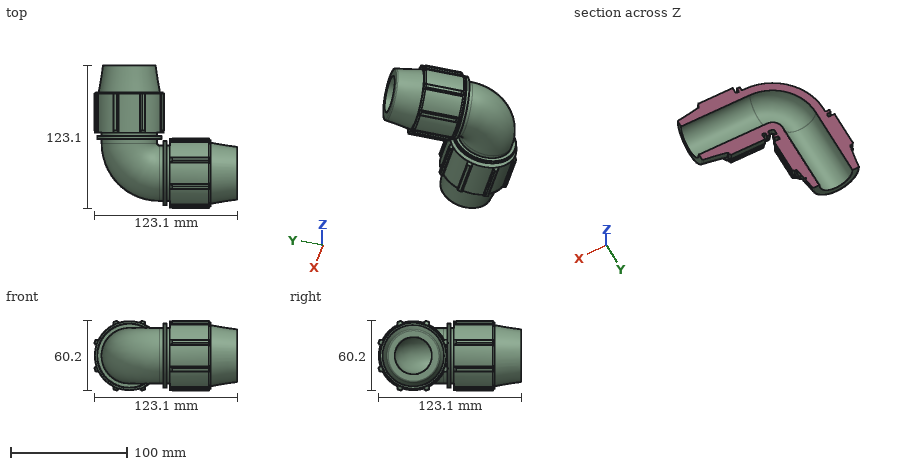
import cadquery as cq
import math

overall_length = 123.1
pipe_radius = 24.0
bore_radius = 16.0
bend_radius = 25.9

flange_radius = 27.8
flange_start = 29.2
flange_end = 32.3
flange_chamfer = 0.4

nut_radius = 29.8
nut_start = 35.0
nut_end = 69.9
nut_chamfer = 1.5

rib_count = 8
rib_radius = 32.0
rib_width = 4.7
rib_top_width = 2.7
rib_shoulder_radius = 30.7
rib_root_radius = 28.5
rib_corner_radius = math.hypot(rib_radius, rib_top_width / 2)
rib_end_bevel = rib_corner_radius - nut_radius
rib_pitch = 360 / rib_count

half_pitch = math.radians(rib_pitch / 2)
nut_reach = rib_radius * math.cos(half_pitch) + rib_top_width / 2 * math.sin(half_pitch)
leg_length = overall_length - nut_reach

collar_base_radius = 26.5
collar_middle_radius = 24.4
collar_tip_radius = 22.8
collar_fillet = 1.1


def x_cylinder(radius, start, end):
    """Cylinder along the X axis."""
    return cq.Workplane("YZ", origin=(start, 0, 0)).circle(radius).extrude(end - start)


def bend(radius):
    """Quarter-turn tube from the X leg to the Y leg."""
    return (
        cq.Workplane("YZ", origin=(bend_radius, 0, 0))
        .circle(radius)
        .revolve(90, (bend_radius, 1.2, 0), (bend_radius, 0, 0))
    )


def flange():
    return x_cylinder(flange_radius, flange_start, flange_end).edges().chamfer(flange_chamfer)


def nut_body():
    return x_cylinder(nut_radius, nut_start, nut_end).faces(">X").edges().chamfer(nut_chamfer)


def rib_envelope():
    """Turned shape that bevels both ends of the ribs."""
    return (
        cq.Workplane("XY")
        .moveTo(nut_start, 0)
        .lineTo(nut_start, nut_radius)
        .lineTo(nut_start + rib_end_bevel, rib_corner_radius)
        .lineTo(nut_end - nut_chamfer, rib_corner_radius)
        .lineTo(nut_end, nut_radius - nut_chamfer)
        .lineTo(nut_end, 0)
        .close()
        .revolve(360, (0, 0, 0), (1, 0, 0))
    )


def ribs():
    """Ring of ribs with bevelled crests, set half a pitch away from the Z axis."""
    rib = (
        cq.Workplane("YZ", origin=(nut_start, 0, 0))
        .moveTo(-rib_width / 2, rib_root_radius)
        .lineTo(rib_width / 2, rib_root_radius)
        .lineTo(rib_width / 2, rib_shoulder_radius)
        .lineTo(rib_top_width / 2, rib_radius)
        .lineTo(-rib_top_width / 2, rib_radius)
        .lineTo(-rib_width / 2, rib_shoulder_radius)
        .close()
        .extrude(nut_end - nut_start)
        .intersect(rib_envelope())
    )
    return [
        rib.rotate((0, 0, 0), (1, 0, 0), (index + 0.5) * rib_pitch)
        for index in range(rib_count)
    ]


def collar():
    """Tapered collar with a slightly hollow side and a rounded tip."""
    middle = (nut_end + leg_length) / 2
    return (
        cq.Workplane("XY")
        .moveTo(nut_end, 0)
        .lineTo(nut_end, collar_base_radius)
        .threePointArc((middle, collar_middle_radius), (leg_length, collar_tip_radius))
        .lineTo(leg_length, 0)
        .close()
        .revolve(360, (0, 0, 0), (1, 0, 0))
        .faces(">X")
        .edges()
        .fillet(collar_fillet)
    )


def leg():
    """Complete solid leg along +X."""
    body = x_cylinder(pipe_radius, bend_radius, nut_end)
    body = body.union(flange()).union(nut_body()).union(collar())
    for rib in ribs():
        body = body.union(rib)
    return body


def across_diagonal(shape):
    """Swap X and Y by mirroring in the X-Z plane and turning a quarter turn."""
    return shape.mirror("XZ").rotate((0, 0, 0), (0, 0, 1), 90)


x_leg = leg()
elbow = bend(pipe_radius).union(x_leg).union(across_diagonal(x_leg))

x_bore = x_cylinder(bore_radius, bend_radius, leg_length)
result = elbow.cut(bend(bore_radius)).cut(x_bore).cut(across_diagonal(x_bore))